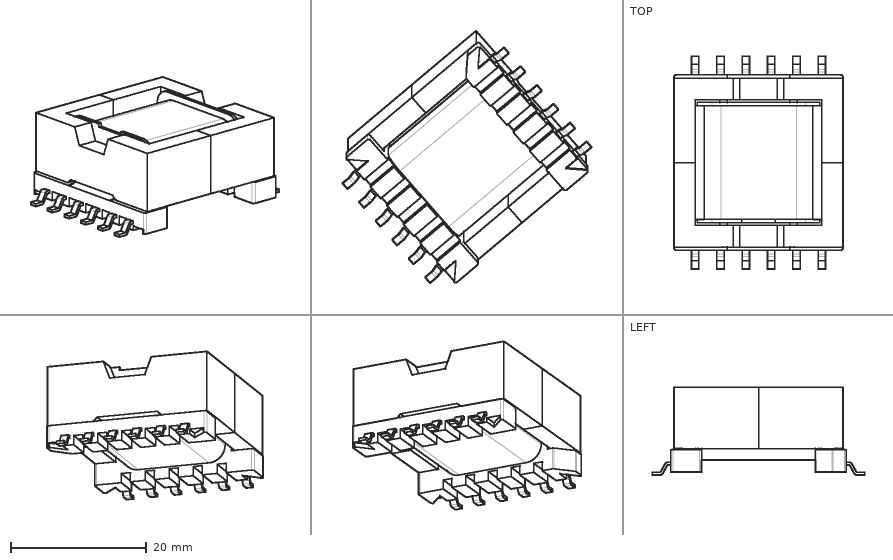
import cadquery as cq
import math


core_width = 25.0
core_half_length = 12.5
core_bottom = 3.9
core_top = 13.0
window_width = 18.7
window_half_length = 9.3
leg_width = 11.4
leg_height = 5.2
leg_bottom = 4.5
leg_chamfer = 1.1
top_notch_width = 7.5
top_notch_floor_width = 5.5
top_notch_depth = 2.65
bottom_notch_width = 10.6
bottom_notch_roof_width = 9.4

winding_width = 16.1
winding_half_length = 8.4
winding_build = 2.3
winding_corner_radius = 2.5

flange_width = 18.1
flange_thickness = 0.5
flange_corner_radius = 2.15
flange_notch_width = 5.0
flange_notch_depth = 0.5
flange_outer_y = winding_half_length + flange_thickness

rail_bottom = 0.45
rail_top = 3.75
rail_front = 13.0
rail_corner_radius = 0.35
ramp_width = 9.3
ramp_rise = 0.6
pin_one_chamfer = 2.5
pin_one_edge_radius = 0.25
pocket_height = 0.67
pocket_post_width = 0.4
pocket_post_depth = 0.15

lead_count = 6
lead_pitch = 3.75
lead_width = 1.12
lead_thickness = 0.42
lead_top = 1.9
lead_end = 15.75
lead_bend = 13.45
lead_angle = math.radians(61)
slot_width = 1.42
slot_top = 1.87

lead_positions = [(i - (lead_count - 1) / 2) * lead_pitch for i in range(lead_count)]
slot_positions = [x + lead_pitch / 2 for x in lead_positions[:-1]]


def centred_block(width, y_min, y_max, z_min, z_max):
    """Block centred on X = 0."""
    solid = cq.Workplane("XY").box(width, y_max - y_min, z_max - z_min, centered=(True, False, False))
    return solid.translate((0, y_min, z_min))


def trapezoid_bar(width_1, z_1, width_2, z_2, y_min, y_max):
    """Bar along Y whose width changes from width_1 at z_1 to width_2 at z_2."""
    outline = [
        (-width_1 / 2, z_1),
        (width_1 / 2, z_1),
        (width_2 / 2, z_2),
        (-width_2 / 2, z_2),
    ]
    bar = cq.Workplane("XZ").polyline(outline).close().extrude(y_max - y_min)
    return bar.translate((0, y_max, 0))


def mirrored_to_rear(body):
    return body.mirror("XZ")


def make_leg(y_min, y_max):
    leg = centred_block(leg_width, y_min, y_max, leg_bottom, leg_bottom + leg_height)
    return leg.edges("|Y and >Z").chamfer(leg_chamfer)


def make_core_half():
    core = centred_block(core_width, -core_half_length, 0, core_bottom, core_top)
    core = core.cut(centred_block(window_width, -window_half_length, 0, core_bottom, core_top))
    core = core.cut(trapezoid_bar(
        top_notch_floor_width, core_top - top_notch_depth, top_notch_width, core_top,
        -core_half_length, -window_half_length,
    ))
    core = core.cut(trapezoid_bar(
        bottom_notch_width, core_bottom, bottom_notch_roof_width, leg_bottom,
        -core_half_length, -window_half_length,
    ))
    return core.union(make_leg(-window_half_length, 0))


def leg_passage():
    return make_leg(-flange_outer_y, flange_outer_y)


def make_winding():
    sleeve = centred_block(
        winding_width, -winding_half_length, winding_half_length,
        leg_bottom - winding_build, leg_bottom + leg_height + winding_build,
    )
    return sleeve.edges("|Y").fillet(winding_corner_radius).cut(leg_passage())


def make_flange():
    flange = centred_block(flange_width, -flange_outer_y, -winding_half_length, rail_top, core_top)
    return flange.edges("|Y and >Z").fillet(flange_corner_radius).cut(leg_passage())


def make_ramp():
    """Wedge on the rail that rises from the rail's front edge towards the flange."""
    outline = [
        (-rail_front, rail_top),
        (-flange_outer_y, rail_top),
        (-flange_outer_y, rail_top + ramp_rise),
    ]
    return cq.Workplane("YZ").polyline(outline).close().extrude(ramp_width / 2, both=True)


def make_corner_pocket():
    """Recess under the rail beside the first lead, with a 45 degree back wall."""
    outer_x = -core_width / 2 + pocket_post_width
    inner_x = lead_positions[0] - lead_width / 2
    wall_start = -rail_front + pocket_post_depth
    outline = [
        (outer_x, -rail_front),
        (inner_x, -rail_front),
        (inner_x, wall_start + inner_x - outer_x),
        (outer_x, wall_start),
    ]
    pocket = cq.Workplane("XY").workplane(offset=rail_bottom).polyline(outline).close()
    return pocket.extrude(pocket_height)


def make_rail(has_pin_one_chamfer):
    rail = centred_block(core_width, -rail_front, -winding_half_length, rail_bottom, rail_top)
    if has_pin_one_chamfer:
        rail = rail.edges("|Z and <X and >Y").chamfer(pin_one_chamfer)
        rail = rail.edges("|Z and <Y or |Z and >X").fillet(rail_corner_radius)
        rail = rail.edges(cq.selectors.BoxSelector(
            (-core_width, -rail_front + 2 * rail_corner_radius, 0),
            (0, 0, core_top),
        )).edges("|Z").fillet(pin_one_edge_radius)
    else:
        rail = rail.edges("|Z").fillet(rail_corner_radius)
    for x in slot_positions:
        slot = centred_block(slot_width, -rail_front, -winding_half_length, rail_bottom, slot_top)
        rail = rail.cut(slot.translate((x, 0, 0)))
    pocket = make_corner_pocket()
    return rail.cut(pocket).cut(pocket.mirror("YZ"))


def make_lead():
    """Gull-wing lead with sharp inner bends and outer bends of one thickness radius."""
    t = lead_thickness

    def around(centre, angle):
        """Point one thickness from centre, at an angle from straight up towards outward."""
        return (centre[0] + t * math.sin(angle), centre[1] + t * math.cos(angle))

    upper = (lead_bend, lead_top - t)
    drop = upper[1] - t
    lower = (lead_bend + (t + drop * math.cos(lead_angle)) / math.sin(lead_angle), t)
    half_angle = lead_angle / 2
    return (
        cq.Workplane(cq.Plane(origin=(lead_width / 2, 0, 0), xDir=(0, -1, 0), normal=(-1, 0, 0)))
        .moveTo(rail_front, lead_top)
        .lineTo(lead_bend, lead_top)
        .threePointArc(around(upper, half_angle), around(upper, lead_angle))
        .lineTo(*lower)
        .lineTo(lead_end, t)
        .lineTo(lead_end, 0)
        .lineTo(lower[0], 0)
        .threePointArc(around(lower, math.pi + half_angle), around(lower, math.pi + lead_angle))
        .lineTo(*upper)
        .lineTo(rail_front, upper[1])
        .close()
        .extrude(lead_width)
    )


def make_bobbin_end(is_front):
    """Rail, ramp, flange and moulded-in leads; the front end has the pin-one features."""
    end = make_rail(is_front).union(make_ramp()).union(make_flange())
    lead = make_lead()
    for x in lead_positions:
        end = end.union(lead.translate((x, 0, 0)))
    if is_front:
        end = end.cut(centred_block(
            flange_notch_width, -flange_outer_y, -winding_half_length,
            core_top - flange_notch_depth, core_top,
        ))
    return end


front_core = make_core_half()
rear_core = mirrored_to_rear(front_core)
winding = make_winding()
front_bobbin_end = make_bobbin_end(is_front=True)
rear_bobbin_end = mirrored_to_rear(make_bobbin_end(is_front=False))

result = cq.Compound.makeCompound([
    front_core.val(),
    rear_core.val(),
    winding.val(),
    front_bobbin_end.val(),
    rear_bobbin_end.val(),
])